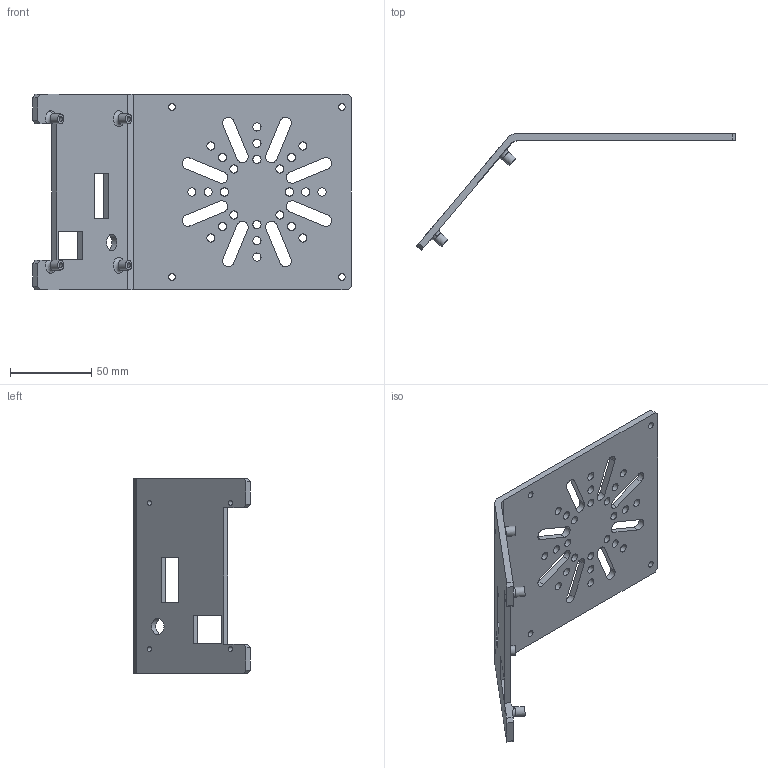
import cadquery as cq
import math

THICKNESS = 4.0
HEIGHT = 120.0
PANEL_LENGTH = 138.0
LEG_LENGTH = 90.0
BEND_ANGLE = 50.0
BEND_CHAMFER = 2.0
CORNER_CHAMFER = 2.0

PATTERN_X = 80.0
PANEL_HOLE_DIAMETER = 4.0
PANEL_HOLE_SPACING = 104.5
RING_HOLE_DIAMETER = 5.0
RING_RADII = (20.0, 30.0, 40.0)
SPOKE_COUNT = 8
SLOT_WIDTH = 7.0
SLOT_INNER_RADIUS = 23.25
SLOT_OUTER_RADIUS = 46.0

TAB_LENGTH = 18.0
TAB_HEIGHT = 18.0
WINDOW_START = 22.0
WINDOW_LENGTH = 14.0
WINDOW_HEIGHT = 28.0
WINDOW_Z = -2.5
CUTOUT_START = 47.5
CUTOUT_LENGTH = 23.0
CUTOUT_HEIGHT = 17.5
CUTOUT_Z = -33.0
ROUND_HOLE_DIAMETER = 10.0
ROUND_HOLE_POSITION = 19.25
ROUND_HOLE_Z = -31.0

STANDOFF_DIAMETER = 6.0
STANDOFF_HEIGHT = 8.0
STANDOFF_BASE_FILLET = 2.0
STANDOFF_BORE = 3.0
STANDOFF_POSITIONS = (12.5, 77.5)
STANDOFF_Z = 45.0

LEG_X = -math.cos(math.radians(BEND_ANGLE))
LEG_Y = -math.sin(math.radians(BEND_ANGLE))
TAB_ROOT = LEG_LENGTH - TAB_LENGTH
NOTCH_HEIGHT = HEIGHT - 2 * TAB_HEIGHT

PANEL_PLANE = cq.Plane(origin=(0, -THICKNESS, 0), xDir=(1, 0, 0), normal=(0, -1, 0))
LEG_PLANE = cq.Plane(
    origin=(-THICKNESS * LEG_Y, THICKNESS * LEG_X, 0),
    xDir=(-LEG_X, -LEG_Y, 0),
    normal=(-LEG_Y, LEG_X, 0),
)


def bent_sheet():
    """Sheet folded along Z, with a bevelled bend and chamfered free corners."""
    setback = THICKNESS * math.tan(math.radians(BEND_ANGLE / 2))
    end_x = LEG_LENGTH * LEG_X
    end_y = LEG_LENGTH * LEG_Y
    profile = [
        (0, 0),
        (PANEL_LENGTH, 0),
        (PANEL_LENGTH, -THICKNESS),
        (setback, -THICKNESS),
        (end_x - THICKNESS * LEG_Y, end_y + THICKNESS * LEG_X),
        (end_x, end_y),
    ]
    sheet = cq.Workplane("XY").polyline(profile).close().extrude(HEIGHT / 2, both=True)
    sheet = sheet.edges(cq.NearestToPointSelector((0, 0, 0))).chamfer(BEND_CHAMFER)
    sheet = sheet.edges(cq.NearestToPointSelector((setback, -THICKNESS, 0))).chamfer(BEND_CHAMFER)
    return sheet.faces(">X").edges("|Y").chamfer(CORNER_CHAMFER)


def panel_cut():
    """Cutters for the corner holes, rings of holes and radial slots of the panel."""
    cutter = (
        cq.Workplane(PANEL_PLANE)
        .center(PATTERN_X, 0)
        .rect(PANEL_HOLE_SPACING, PANEL_HOLE_SPACING, forConstruction=True)
        .vertices()
        .circle(PANEL_HOLE_DIAMETER / 2)
        .extrude(-THICKNESS)
    )
    for radius in RING_RADII:
        ring = (
            cq.Workplane(PANEL_PLANE)
            .center(PATTERN_X, 0)
            .polarArray(radius, 0, 360, SPOKE_COUNT)
            .circle(RING_HOLE_DIAMETER / 2)
            .extrude(-THICKNESS)
        )
        cutter = cutter.add(ring)
    slot_length = SLOT_OUTER_RADIUS - SLOT_INNER_RADIUS + SLOT_WIDTH
    slot_radius = (SLOT_OUTER_RADIUS + SLOT_INNER_RADIUS) / 2
    slots = (
        cq.Workplane(PANEL_PLANE)
        .center(PATTERN_X, 0)
        .polarArray(slot_radius, 180 / SPOKE_COUNT, 360, SPOKE_COUNT)
        .slot2D(slot_length, SLOT_WIDTH)
        .extrude(-THICKNESS)
    )
    return cutter.add(slots).combine()


def leg_window(start, length, z, height):
    """Rectangular cutter through the leg, starting at a distance along it."""
    return (
        cq.Workplane(LEG_PLANE)
        .center(-(start + length / 2), z)
        .rect(length, height)
        .extrude(-THICKNESS)
    )


def leg_hole(position, z, diameter, height_above_leg=0):
    """Round cutter through the leg and anything up to a height above its inner face."""
    return (
        cq.Workplane(LEG_PLANE)
        .workplane(offset=-THICKNESS)
        .center(-position, z)
        .circle(diameter / 2)
        .extrude(THICKNESS + height_above_leg)
    )


def standoff(position, z):
    """Post with a concave fillet where it meets the leg, revolved about its axis."""
    radius = STANDOFF_DIAMETER / 2
    base_radius = radius + STANDOFF_BASE_FILLET
    arc_offset = STANDOFF_BASE_FILLET * (1 - math.sqrt(0.5))
    axis_plane = cq.Plane(
        origin=LEG_PLANE.toWorldCoords((-position, z, 0)),
        xDir=(0, 0, 1),
        normal=LEG_PLANE.xDir,
    )
    profile = (
        cq.Workplane(axis_plane)
        .lineTo(base_radius, 0)
        .threePointArc((radius + arc_offset, arc_offset), (radius, STANDOFF_BASE_FILLET))
        .lineTo(radius, STANDOFF_HEIGHT)
        .lineTo(0, STANDOFF_HEIGHT)
        .close()
    )
    return profile.revolve(360, (0, 0, 0), (0, 1, 0))


def with_standoffs(body):
    """Add the four standoffs, each bored through together with the leg."""
    for position in STANDOFF_POSITIONS:
        for z in (-STANDOFF_Z, STANDOFF_Z):
            body = body.union(standoff(position, z))
            body = body.cut(leg_hole(position, z, STANDOFF_BORE, STANDOFF_HEIGHT))
    return body


def notch_cut():
    """Opening between the two tabs, tall enough to trim the standoff fillets."""
    return (
        cq.Workplane(LEG_PLANE)
        .workplane(offset=-THICKNESS)
        .center(-(TAB_ROOT + TAB_LENGTH / 2), 0)
        .rect(TAB_LENGTH, NOTCH_HEIGHT)
        .extrude(THICKNESS + STANDOFF_BASE_FILLET)
    )


def with_chamfered_tabs(body):
    """Chamfer the four free corners of the two tabs."""
    end_edges = cq.Workplane(LEG_PLANE).center(-LEG_LENGTH, 0)
    for z in (-HEIGHT / 2, -NOTCH_HEIGHT / 2, NOTCH_HEIGHT / 2, HEIGHT / 2):
        corner = (
            end_edges.center(0, z)
            .polyline([(0, -CORNER_CHAMFER), (CORNER_CHAMFER, 0), (0, CORNER_CHAMFER)])
            .close()
            .extrude(-THICKNESS)
        )
        body = body.cut(corner)
    return body


body = bent_sheet().cut(panel_cut())
body = with_standoffs(body)
body = with_chamfered_tabs(body.cut(notch_cut()))
body = body.cut(leg_window(WINDOW_START, WINDOW_LENGTH, WINDOW_Z, WINDOW_HEIGHT))
body = body.cut(leg_window(CUTOUT_START, CUTOUT_LENGTH, CUTOUT_Z, CUTOUT_HEIGHT))
result = body.cut(leg_hole(ROUND_HOLE_POSITION, ROUND_HOLE_Z, ROUND_HOLE_DIAMETER))